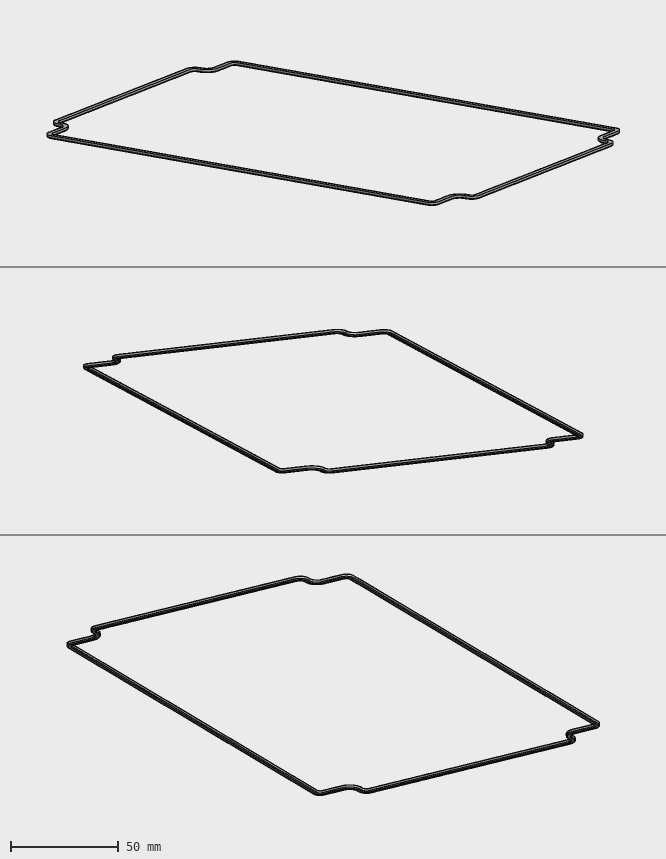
import cadquery as cq

length = 237.5
width = 157.5
thickness = 1.6

strip_width = 2.4
notch_length = 9.5
notch_width = 19.2
bottom_chamfer = 0.5

end_bend_radius = 4.5
notch_bend_radius = 4.0
side_bend_radius = 4.0


def notched_plate(inset):
    """Plate with four rounded corner notches, its outline moved inward by inset."""
    half_length = length / 2 - inset
    half_width = width / 2 - inset
    notch_x = half_length - notch_length
    notch_y = half_width - notch_width
    quarter = [(half_length, notch_y), (notch_x, notch_y), (notch_x, half_width)]
    right_half = [(x, -y) for x, y in reversed(quarter)] + quarter
    left_half = [(-x, -y) for x, y in right_half]
    plate = cq.Workplane("XY").polyline(right_half + left_half).close().extrude(thickness)

    radii = [end_bend_radius - inset, notch_bend_radius + inset, side_bend_radius - inset]
    for (x, y), radius in zip(quarter, radii):
        for x_sign in (-1, 1):
            for y_sign in (-1, 1):
                corner = (x_sign * x, y_sign * y, thickness / 2)
                plate = plate.edges(cq.selectors.NearestToPointSelector(corner)).fillet(radius)
    return plate


frame = notched_plate(0).cut(notched_plate(strip_width))

result = frame.faces("<Z").edges().chamfer(bottom_chamfer)